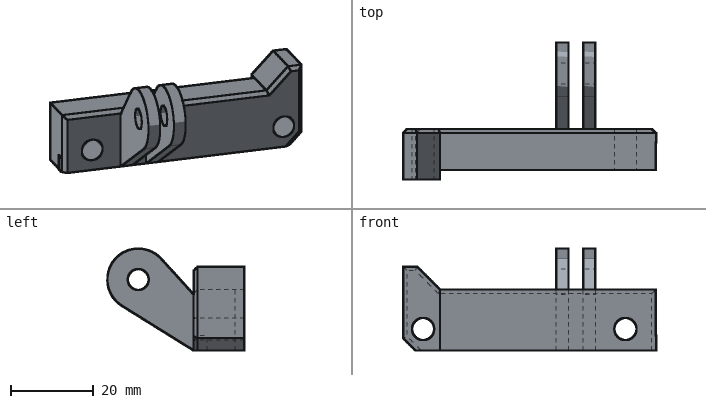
import cadquery as cq
import math

bar_end_x = 61.1
bar_depth = 10.0
bar_height = 14.75
head_width = 8.95
head_height = 20.3
head_step = 2.25
head_bevel = head_height - bar_height
head_foot_bevel = 3.0
back_chamfer = 1.0
back_y = head_step + bar_depth

screw_diameter = 5.3
screw_spacing = 48.9
screw_x = 4.85
screw_z = 5.2

arm_radius = 7.5
arm_pin_diameter = 5.0
arm_thickness = 3.0
arm_pitch = 6.5
arm_start_x = 37.0
arm_root_height = 13.6
overall_depth = 33.12
overall_height = 24.66
pin_y = overall_depth - arm_radius
pin_z = overall_height - arm_radius

pad_thickness = 0.15
pad_depth = 2.3
pad_height = 3.6


def make_body():
    """Bar and head as one silhouette, chamfered at the back, with the bar's front set back."""
    outline = [
        (head_foot_bevel, 0),
        (bar_end_x, 0),
        (bar_end_x, bar_height),
        (head_width, bar_height),
        (head_width - head_bevel, head_height),
        (0, head_height),
        (0, head_foot_bevel),
    ]
    body = cq.Workplane("XZ").polyline(outline).close().extrude(-back_y)
    bottom_edge = cq.selectors.BoxSelector(
        (0, back_y - back_chamfer, -back_chamfer),
        (bar_end_x, back_y + back_chamfer, back_chamfer),
    )
    back_rim = body.faces(">Y").edges()
    body = back_rim.edges(cq.selectors.InverseSelector(bottom_edge)).chamfer(back_chamfer)
    front_relief = cq.Workplane("XY").box(
        bar_end_x - head_width, head_step, bar_height, centered=False
    ).translate((head_width, 0, 0))
    return body.cut(front_relief)


def tangent_point(root_z, side):
    """Point on the arm's round end touched by a line from the body's back at height root_z.

    side is +1 for the upper flank and -1 for the lower flank.
    """
    to_root_y = back_y - pin_y
    to_root_z = root_z - pin_z
    to_root = math.atan2(to_root_z, to_root_y)
    half_angle = math.acos(arm_radius / math.hypot(to_root_y, to_root_z))
    angle = to_root - side * half_angle
    return (pin_y + arm_radius * math.cos(angle), pin_z + arm_radius * math.sin(angle))


def make_arm(start_x):
    """Flat arm rising from the back of the bar to a round, drilled end."""
    root_y = back_y - back_chamfer
    arm = (
        cq.Workplane("YZ")
        .moveTo(root_y, 0)
        .lineTo(back_y, 0)
        .lineTo(*tangent_point(0, -1))
        .threePointArc((pin_y + arm_radius, pin_z), tangent_point(arm_root_height, 1))
        .lineTo(back_y, arm_root_height)
        .lineTo(root_y, arm_root_height)
        .close()
        .extrude(arm_thickness)
    )
    pin_hole = (
        cq.Workplane("YZ")
        .center(pin_y, pin_z)
        .circle(arm_pin_diameter / 2)
        .extrude(arm_thickness)
    )
    return arm.cut(pin_hole).translate((start_x, 0, 0))


def make_end_pad():
    """Thin pad on the +X end, just in front of the back chamfer."""
    pad_start_y = back_y - back_chamfer - pad_depth
    pad = cq.Workplane("XY").box(pad_thickness, pad_depth, pad_height, centered=False)
    return pad.translate((bar_end_x, pad_start_y, 0))


def make_screw_holes():
    """Cylinders for the two screw holes."""
    return (
        cq.Workplane("XZ")
        .pushPoints([(screw_x, screw_z), (screw_x + screw_spacing, screw_z)])
        .circle(screw_diameter / 2)
        .extrude(-back_y)
    )


result = make_body()
for arm_index in range(2):
    result = result.union(make_arm(arm_start_x + arm_index * arm_pitch))
result = result.union(make_end_pad())
result = result.cut(make_screw_holes())